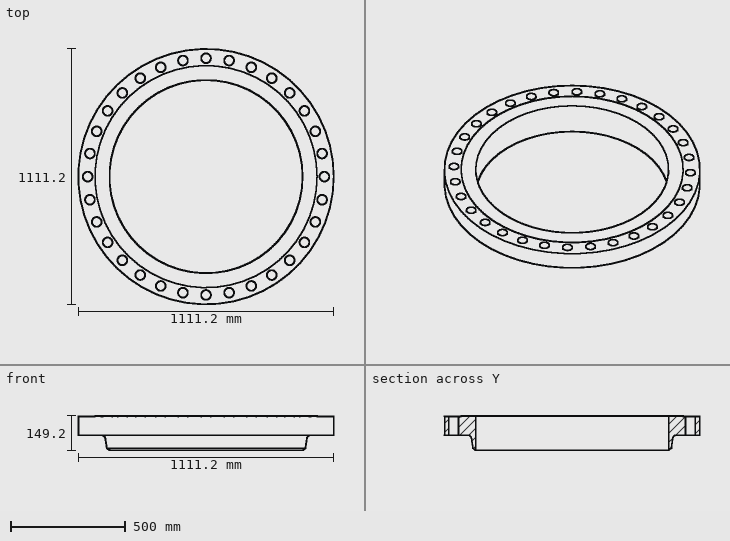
import cadquery as cq

outer_diameter = 1111.25
overall_height = 149.225
plate_thickness = 82.55
raised_face_height = 1.5875
raised_face_diameter = 965.2
bore_diameter = 838.2
hub_base_diameter = 882.0
weld_end_diameter = 865.0
bevel_height = 9.0
bevel_tip_diameter = 841.4
hub_fillet_radius = 15.875
bolt_circle_diameter = 1028.7
bolt_hole_diameter = 41.275
bolt_hole_count = 32

weld_end_z = -overall_height / 2
raised_face_z = weld_end_z + overall_height
plate_top_z = raised_face_z - raised_face_height
plate_bottom_z = plate_top_z - plate_thickness
bevel_top_z = weld_end_z + bevel_height

selection_margin = 1.0


def flange_body():
    """Revolve the half section about Z: bore, tapered hub, plate and raised face."""
    half_section = [
        (bore_diameter / 2, weld_end_z),
        (bevel_tip_diameter / 2, weld_end_z),
        (weld_end_diameter / 2, bevel_top_z),
        (hub_base_diameter / 2, plate_bottom_z),
        (outer_diameter / 2, plate_bottom_z),
        (outer_diameter / 2, plate_top_z),
        (raised_face_diameter / 2, plate_top_z),
        (raised_face_diameter / 2, raised_face_z),
        (bore_diameter / 2, raised_face_z),
    ]
    return cq.Workplane("XZ").polyline(half_section).close().revolve(360, (0, 0), (0, 1))


def fillet_hub(body):
    """Round the inside corner where the hub meets the plate."""
    reach = hub_base_diameter / 2 + selection_margin
    corner = cq.selectors.BoxSelector(
        (-reach, -reach, plate_bottom_z - selection_margin),
        (reach, reach, plate_bottom_z + selection_margin),
        boundingbox=True,
    )
    return body.edges(corner).fillet(hub_fillet_radius)


def bolt_holes():
    """Through holes evenly spaced on the bolt circle."""
    return (
        cq.Workplane("XY")
        .workplane(offset=plate_bottom_z)
        .polarArray(bolt_circle_diameter / 2, 0, 360, bolt_hole_count)
        .circle(bolt_hole_diameter / 2)
        .extrude(plate_thickness)
    )


result = fillet_hub(flange_body()).cut(bolt_holes())